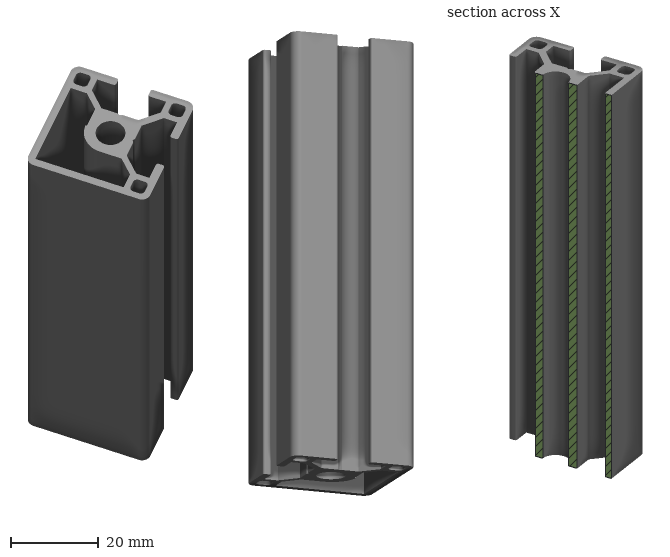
import cadquery as cq
import math

SIZE = 30.0
LENGTH = 100.0
CORNER_RADIUS = 2.0
WALL = 1.8
SLOT_OPENING = 8.0
LIP_THICKNESS = 2.0
LIP_EDGE_RADIUS = 0.5
SELECT_MARGIN = 0.1

CORE_WIDTH = 11.6
CORE_BORE = 6.8
CORE_ARC_SHIFT = 0.3
CENTER_GROOVE_WIDTH = 1.0
CENTER_GROOVE_DEPTH = 0.35

CORNER_BLOCK = 6.5
CORNER_HOLE = 3.5
CORNER_HOLE_RADIUS = 1.0
CORNER_HOLE_CENTER = 11.7

SLOT_WEB_OFFSET = 1.25
CAVITY_WEB_OFFSET = 0.75

HALF = SIZE / 2
INNER = HALF - WALL
LIP_INNER = HALF - LIP_THICKNESS
BLOCK = HALF - CORNER_BLOCK
CORE = CORE_WIDTH / 2


def make_body():
    """Solid bar with rounded long edges."""
    bar = cq.Workplane("XY").rect(SIZE, SIZE).extrude(LENGTH)
    return bar.edges("|Z").fillet(CORNER_RADIUS)


def make_slot():
    """T-slot void opening towards +Y, with a centre groove in its floor."""
    half_opening = SLOT_OPENING / 2
    right_side = [
        (CENTER_GROOVE_WIDTH / 2, CORE),
        (CORE - SLOT_WEB_OFFSET, CORE),
        (BLOCK, BLOCK + SLOT_WEB_OFFSET),
        (BLOCK, LIP_INNER),
        (half_opening, LIP_INNER),
        (half_opening, HALF),
    ]
    groove_bottom = (0, CORE - CENTER_GROOVE_DEPTH)
    left_side = [(-x, y) for x, y in reversed(right_side)]
    return cq.Workplane("XY").polyline([groove_bottom] + right_side + left_side).close().extrude(LENGTH)


def make_cavity():
    """Closed chamber in the -X -Y corner, curving around the core."""
    arc_middle = CORE / math.sqrt(2)
    return (
        cq.Workplane("XY")
        .moveTo(-INNER, -INNER)
        .lineTo(BLOCK, -INNER)
        .lineTo(BLOCK, -BLOCK - CAVITY_WEB_OFFSET)
        .lineTo(CORE - CAVITY_WEB_OFFSET, -CORE)
        .lineTo(-CORE_ARC_SHIFT, -CORE)
        .threePointArc((-CORE_ARC_SHIFT - arc_middle, -arc_middle), (-CORE_ARC_SHIFT - CORE, 0))
        .lineTo(-CORE, 0)
        .lineTo(-CORE, CORE - CAVITY_WEB_OFFSET)
        .lineTo(-BLOCK - CAVITY_WEB_OFFSET, BLOCK)
        .lineTo(-INNER, BLOCK)
        .close()
        .extrude(LENGTH)
    )


def make_corner_holes():
    """Rounded square holes through the three slotted corners."""
    centers = [
        (-CORNER_HOLE_CENTER, CORNER_HOLE_CENTER),
        (CORNER_HOLE_CENTER, CORNER_HOLE_CENTER),
        (CORNER_HOLE_CENTER, -CORNER_HOLE_CENTER),
    ]
    holes = cq.Workplane("XY").pushPoints(centers).rect(CORNER_HOLE, CORNER_HOLE).extrude(LENGTH)
    return holes.edges("|Z").fillet(CORNER_HOLE_RADIUS)


def make_bore():
    """Round hole through the core."""
    return cq.Workplane("XY").circle(CORE_BORE / 2).extrude(LENGTH)


def lip_edge_selector():
    """Selector for the long edges of the lips on the +Y slot opening."""
    half_opening = SLOT_OPENING / 2
    return cq.selectors.BoxSelector(
        (-half_opening - SELECT_MARGIN, LIP_INNER - SELECT_MARGIN, 0),
        (half_opening + SELECT_MARGIN, HALF + SELECT_MARGIN, LENGTH),
    )


def turn(solid, angle):
    """Rotate a solid about the Z axis by an angle in degrees."""
    return solid.rotate((0, 0, 0), (0, 0, 1), angle)


def cut_slot(bar):
    """Cut the +Y slot and round the edges of its lips."""
    return bar.cut(make_slot()).edges("|Z").edges(lip_edge_selector()).fillet(LIP_EDGE_RADIUS)


result = cut_slot(make_body())
result = turn(cut_slot(turn(result, 90)), -90)
for void in (make_cavity(), make_corner_holes(), make_bore()):
    result = result.cut(void)